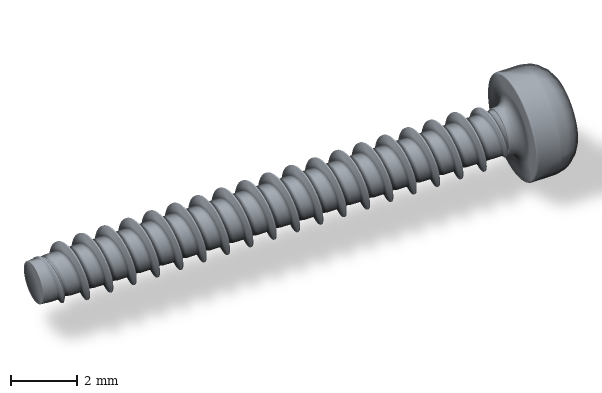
import cadquery as cq
import math


HEAD_RADIUS = 1.75
HEAD_HEIGHT = 1.6
DOME_HEIGHT = HEAD_HEIGHT / 2
DOME_RADIUS = 0.9
SEAT_EDGE_RADIUS = 0.05

SHANK_LENGTH = 16.0
NECK_RADIUS = 0.76
NECK_FILLET = 0.33
NECK_END = 0.47
CORE_RADIUS = 0.71
TIP_RADIUS = 0.685
TIP_TAPER_LENGTH = 0.3

THREAD_RADIUS = 1.0
PITCH = 0.78
THREAD_START = 0.195
THREAD_START_ANGLE = 180.0
THREAD_TURNS = 20
FADE_TURNS = 1.25
FULL_TURNS = THREAD_TURNS - 2 * FADE_TURNS
FADED_RADIUS = 0.7
CREST_WIDTH = 0.04
ROOT_WIDTH = 0.34
BURIED_RADIUS = 0.6
PIECE_TURNS = 2

GROOVE_WIDE_OFFSET = -0.35
GROOVE_DEEP_OFFSET = -0.10
GROOVE_RADIUS = 0.67
GROOVE_EDGE_RADIUS = 0.72
CLEAR_RADIUS = 0.8
GROOVE_LEAD_IN_RADIUS = 0.74
GROOVE_LEAD_IN_TURNS = 1


def make_body():
    """Head, neck and core as one turned profile."""
    dome_centre_r = HEAD_RADIUS - DOME_RADIUS
    dome_top_r = dome_centre_r + math.sqrt(DOME_RADIUS**2 - DOME_HEIGHT**2)
    dome_mid_angle = math.asin(DOME_HEIGHT / DOME_RADIUS) / 2
    dome_mid = (
        dome_centre_r + DOME_RADIUS * math.cos(dome_mid_angle),
        -DOME_HEIGHT - DOME_RADIUS * math.sin(dome_mid_angle),
    )
    diagonal = 1 - math.sqrt(0.5)
    seat_edge_mid = (
        HEAD_RADIUS - SEAT_EDGE_RADIUS * diagonal,
        -SEAT_EDGE_RADIUS * diagonal,
    )
    neck_mid = (NECK_RADIUS + NECK_FILLET * diagonal, NECK_FILLET * diagonal)
    profile = (
        cq.Workplane("XZ")
        .moveTo(0, -HEAD_HEIGHT)
        .lineTo(dome_top_r, -HEAD_HEIGHT)
        .threePointArc(dome_mid, (HEAD_RADIUS, -DOME_HEIGHT))
        .lineTo(HEAD_RADIUS, -SEAT_EDGE_RADIUS)
        .threePointArc(seat_edge_mid, (HEAD_RADIUS - SEAT_EDGE_RADIUS, 0))
        .lineTo(NECK_RADIUS + NECK_FILLET, 0)
        .threePointArc(neck_mid, (NECK_RADIUS, NECK_FILLET))
        .lineTo(NECK_RADIUS, NECK_END)
        .lineTo(CORE_RADIUS, NECK_END)
        .lineTo(CORE_RADIUS, SHANK_LENGTH - TIP_TAPER_LENGTH)
        .lineTo(TIP_RADIUS, SHANK_LENGTH)
        .lineTo(0, SHANK_LENGTH)
        .close()
    )
    return profile.revolve(360, (0, 0, 0), (0, 1, 0)).val()


def helix_edge(start_radius, end_radius, start_z, turns):
    """Right-hand helix whose radius changes evenly from start to end."""
    height = turns * PITCH
    growth = end_radius - start_radius
    if growth == 0:
        helix = cq.Wire.makeHelix(PITCH, height, start_radius)
    else:
        slope_length = math.hypot(height, growth)
        cone_angle = math.degrees(math.atan2(growth, height))
        helix = cq.Wire.makeHelix(
            slope_length / turns, slope_length, start_radius, angle=cone_angle
        )
    return helix.moved(cq.Location(cq.Vector(0, 0, start_z)))


def helical_solid(corners, turns):
    """Solid swept by a section; each corner gives its axial offset, start and end radius."""
    edges = [
        helix_edge(start_radius, end_radius, axial_offset, turns)
        for axial_offset, start_radius, end_radius in corners
    ]
    faces = []
    for index, edge in enumerate(edges):
        neighbour = edges[(index + 1) % len(edges)]
        faces.extend(cq.Face.makeRuledSurface(edge, neighbour).Faces())
    for at_end in (0, 1):
        points = [edge.positionAt(at_end) for edge in edges]
        outline = cq.Wire.makePolygon(points, close=True)
        faces.append(cq.Face.makeFromWires(outline))
    return cq.Solid.makeSolid(cq.Shell.makeShell(faces))


def ridge(start_radius, end_radius, turns):
    """Length of thread whose crest goes from start to end radius."""
    corners = (
        (-ROOT_WIDTH / 2, BURIED_RADIUS, BURIED_RADIUS),
        (-CREST_WIDTH / 2, start_radius, end_radius),
        (CREST_WIDTH / 2, start_radius, end_radius),
        (ROOT_WIDTH / 2, BURIED_RADIUS, BURIED_RADIUS),
    )
    return helical_solid(corners, turns)


def groove(start_radius, end_radius, turns):
    """Cutter for a length of relief groove whose floor goes from start to end radius."""
    corners = (
        (GROOVE_WIDE_OFFSET, GROOVE_EDGE_RADIUS, GROOVE_EDGE_RADIUS),
        (GROOVE_DEEP_OFFSET, start_radius, end_radius),
        (GROOVE_DEEP_OFFSET, CLEAR_RADIUS, CLEAR_RADIUS),
        (GROOVE_WIDE_OFFSET, CLEAR_RADIUS, CLEAR_RADIUS),
    )
    return helical_solid(corners, turns)


def placed(section, turns_before):
    """Move a ridge section along the thread by the turns that precede it."""
    section = section.rotate(
        cq.Vector(0, 0, 0), cq.Vector(0, 0, 1), THREAD_START_ANGLE + 360 * turns_before
    )
    return section.translate(cq.Vector(0, 0, THREAD_START + PITCH * turns_before))


def short_pieces(first, length):
    """Split a length of thread into (turns before, turns) pieces, kept short for exact joining."""
    count = math.ceil(length / PIECE_TURNS)
    return [(first + index * length / count, length / count) for index in range(count)]


def make_thread():
    """Run-in, full-depth thread and run-out."""
    sections = [placed(ridge(FADED_RADIUS, THREAD_RADIUS, FADE_TURNS), 0)]
    for before, turns in short_pieces(FADE_TURNS, FULL_TURNS):
        sections.append(placed(ridge(THREAD_RADIUS, THREAD_RADIUS, turns), before))
    run_out = ridge(THREAD_RADIUS, FADED_RADIUS, FADE_TURNS)
    sections.append(placed(run_out, FADE_TURNS + FULL_TURNS))
    return sections


def make_grooves():
    """Relief groove cutters, from a lead-in at the first full turn to the end of the thread."""
    lead_in = groove(GROOVE_LEAD_IN_RADIUS, GROOVE_RADIUS, GROOVE_LEAD_IN_TURNS)
    sections = [placed(lead_in, FADE_TURNS)]
    groove_start = FADE_TURNS + GROOVE_LEAD_IN_TURNS
    for before, turns in short_pieces(groove_start, THREAD_TURNS - groove_start):
        sections.append(placed(groove(GROOVE_RADIUS, GROOVE_RADIUS, turns), before))
    return sections


def make_screw():
    """Cut the grooves, then join the thread in two passes so that no pass holds neighbours."""
    screw = make_body().cut(*make_grooves())
    thread = make_thread()
    for pieces in (thread[0::2], thread[1::2]):
        screw = screw.fuse(*pieces)
    return screw.Solids()[0]


result = cq.Workplane("XY").newObject([make_screw()]).rotate((0, 0, 0), (1, 0, 0), 90)